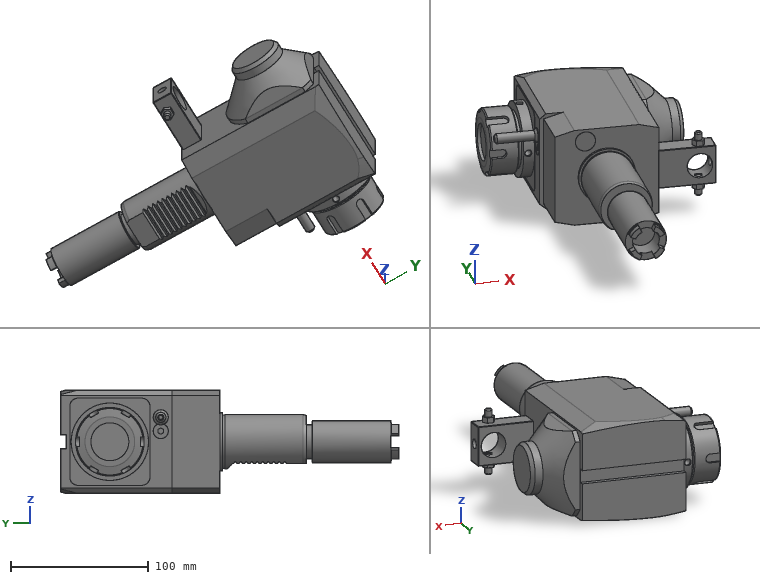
import cadquery as cq
import math


HEX_SIDES = 6

BODY_LEFT = -41.8
BODY_RIGHT = 39.1
BODY_LENGTH = 116.0
BODY_HALF_HEIGHT = 37.5
EDGE_DROP = 3.85
EDGE_HALF_HEIGHT = BODY_HALF_HEIGHT - EDGE_DROP
SIDE_SLOPE_WIDTH = 14.7
LEFT_CHAMFER_WIDTH = 4.5
STEP_LEFT = -38.8
STEP_LENGTH = 35.0
BACK_SLOPE_LENGTH = 12.0
BACK_SLOPE_ANGLE = 15.0
BACK_CURVE_OVERRUN = 10.0
BACK_CREST_X = -11.0
BACK_CREST_SETBACK = 3.2
BACK_SHOULDER_X = -24.0
BACK_SHOULDER_SETBACK = 4.4
BACK_SLOT_WIDTH = 10.0
BACK_SLOT_DEPTH = 4.0
FRONT_PLUG_X = -15.8
FRONT_PLUG_Z = 28.0
FRONT_PLUG_RADIUS = 7.5
OUTLINE_DEPTH = 0.2

FLANGE_RADIUS = 21.3
FLANGE_LENGTH = 2.0
SHANK_RADIUS = 20.0
SHANK_RELIEF_LENGTH = 3.5
SHANK_RELIEF = 0.4
SHANK_END = 63.0
SHANK_CHAMFER_LENGTH = 2.7
SHANK_CHAMFER_DEPTH = 0.8
NECK_RADIUS = 12.5
SHAFT_START = 67.0
SHAFT_RADIUS = 15.35
SHAFT_CHAMFER = 0.5
SHAFT_SHOULDER = 125.0
SHAFT_END = 130.25
SHAFT_BORE_END = 110.0
CLAW_RADIUS = 14.0
SHAFT_BORE_RADIUS = 10.0
CLAW_COUNT = 4
CLAW_GAP_ANGLE = 50.0
CLAW_GAP_FLOOR = 124.5

RACK_FLAT = 16.0
RACK_START = 9.0
RACK_PITCH = 4.0
RACK_TEETH = 10
RACK_FIRST = 11.25
RACK_DEPTH = 1.6
RACK_HALF_GAP = 1.5

SPINDLE_Y = 80.15
COLLAR_RADIUS = 28.2
COLLAR_FACE = -49.7
COLLAR_HOLE_X = -46.2
COLLAR_HOLE_RADIUS = 2.5
COLLAR_HOLE_DEPTH = 2.0
COLLAR_HOLE_COUNT = 4
SPINDLE_NECK_RADIUS = 21.7
NUT_RADIUS = 25.0
NUT_BACK = -52.3
NUT_FACE = -74.5
NUT_CHAMFER = 0.7
NUT_CONE_START = -73.4
NUT_EDGE_RADIUS = 24.2
NUT_SHOULDER = -72.4
NUT_RING_RADIUS = 18.1
COLLET_RADIUS = 13.8
COLLET_SETBACK = 2.5
NUT_SLOT_COUNT = 6
NUT_SLOT_WIDTH = 6.8
NUT_SHORT_SLOT_END = -61.6
NUT_LONG_SLOT_END = -57.2
NUT_SLOT_FLOOR = 22.2
PAD_LENGTH = 58.4
PAD_HEIGHT = 63.5
PAD_CORNER = 6.0

CAP_RADIUS = 40.4
CAP_FLAT = 32.4
CAP_CONE_START = 42.8
CAP_BACK_FLAT = 31.2
CAP_FLAT_TILT = 15.0
NOSE_RADIUS = 19.6
NOSE_END = 72.6
NOSE_CHAMFER_LENGTH = 2.9
NOSE_CHAMFER_DEPTH = 2.2

PIN_Y = 43.1
PIN_Z = 17.8
PIN_RADIUS = 3.7
PIN_END = -73.9
PIN_CHAMFER = 1.5
PIN_BORE_RADIUS = 1.5
PIN_BORE_DEPTH = 4.0
PIN_SEAT_RADIUS = 5.5
PIN_SEAT_RISE = 2.4
SPARE_PLUG_Z = 7.8
SPARE_HEX_SIZE = 4.0
SPARE_HEX_DEPTH = 3.0

BRACKET_END = 82.1
BRACKET_NEAR = 1.0
BRACKET_FAR = 16.6
BRACKET_HALF_HEIGHT = 15.0
BRACKET_CHAMFER = 0.5
SCREW_X = 70.1
SCREW_Y = 6.2
BRACKET_BORE_RADIUS = 9.5
SCREW_RADIUS = 2.75
END_HOLE_RADIUS = 3.5
SCREW_TIP = 24.9
SCREW_TIP_CHAMFER = 1.0
SCREW_INNER = 10.2
LOCK_NUT_SIZE = 8.2
LOCK_NUT_TOP = 19.1
LOCK_NUT_TURN = 180 / HEX_SIDES


def revolve_about_y(points, center_x=0.0):
    """Solid turned from (radius, y) points about an axis parallel to Y."""
    profile = cq.Workplane("XY").polyline(points).close()
    return profile.revolve(360, (0, 0, 0), (0, 1, 0)).translate((center_x, 0, 0))


def revolve_about_spindle(points):
    """Solid turned from (x, radius) points about the spindle axis."""
    profile = cq.Workplane("XY").polyline(points).close()
    return profile.revolve(360, (0, 0, 0), (1, 0, 0)).translate((0, SPINDLE_Y, 0))


def rod_x(radius, start, end, y, z):
    """Round rod parallel to X."""
    return cq.Workplane("YZ", origin=(start, y, z)).circle(radius).extrude(end - start)


def body_section(left, left_slope_width, start, end):
    """Length of the body with its upper and lower edges sloped on both sides."""
    upper = [
        (left, EDGE_HALF_HEIGHT),
        (left + left_slope_width, BODY_HALF_HEIGHT),
        (BODY_RIGHT - SIDE_SLOPE_WIDTH, BODY_HALF_HEIGHT),
        (BODY_RIGHT, EDGE_HALF_HEIGHT),
    ]
    lower = [(x, -z) for x, z in reversed(upper)]
    section = cq.Workplane("XZ", origin=(0, start, 0)).polyline(upper + lower).close()
    return section.extrude(start - end)


def back_slope_cutter():
    """What the curved back slope removes from the top edge of the back face."""
    corner_y = BODY_LENGTH - BACK_SLOPE_LENGTH
    left_x = BODY_LEFT + LEFT_CHAMFER_WIDTH
    right_x = BODY_RIGHT - SIDE_SLOPE_WIDTH
    far_left = (left_x - BACK_CURVE_OVERRUN, corner_y - BACK_CURVE_OVERRUN)
    far_right = (right_x + 2 * BACK_CURVE_OVERRUN, corner_y - BACK_CURVE_OVERRUN)
    top_curve = [
        (left_x, corner_y),
        (BACK_SHOULDER_X, BODY_LENGTH - BACK_SHOULDER_SETBACK),
        (BACK_CREST_X, BODY_LENGTH - BACK_CREST_SETBACK),
        (right_x, corner_y),
        far_right,
    ]
    depth = 2 * EDGE_DROP
    base_y = STEP_LENGTH
    kept = (
        cq.Workplane("XY")
        .moveTo(*far_left)
        .spline(top_curve, includeCurrent=True)
        .lineTo(far_right[0], base_y)
        .lineTo(far_left[0], base_y)
        .close()
        .extrude(depth, taper=BACK_SLOPE_ANGLE - 90)
        .mirror("XY")
    )
    block = cq.Workplane("XY").box(4 * BODY_RIGHT, BODY_LENGTH / 2, depth)
    block = block.translate((0, BODY_LENGTH, -depth / 2))
    return block.cut(kept).translate((0, 0, BODY_HALF_HEIGHT))


def make_body():
    """Sloped housing block with its front step, back slot, plug and spindle pad."""
    main = body_section(BODY_LEFT, LEFT_CHAMFER_WIDTH, STEP_LENGTH, BODY_LENGTH)
    step = body_section(STEP_LEFT, SIDE_SLOPE_WIDTH, 0, STEP_LENGTH)
    cutter = back_slope_cutter()
    body = main.cut(cutter).cut(cutter.mirror("XY")).union(step)
    slot = cq.Workplane("XY").box(4 * BODY_RIGHT, 2 * BACK_SLOT_DEPTH, BACK_SLOT_WIDTH)
    body = body.cut(slot.translate((0, BODY_LENGTH, 0)))
    plug = cq.Workplane("XZ").center(FRONT_PLUG_X, FRONT_PLUG_Z).circle(FRONT_PLUG_RADIUS)
    body = body.cut(plug.extrude(-OUTLINE_DEPTH))
    pad = (
        cq.Workplane("YZ", origin=(BODY_LEFT, SPINDLE_Y, 0))
        .rect(PAD_LENGTH, PAD_HEIGHT)
        .extrude(OUTLINE_DEPTH)
        .edges("|X")
        .fillet(PAD_CORNER)
    )
    return body.cut(pad)


def make_shank():
    """Flanged shank, neck and drive shaft with a clawed end."""
    relief_end = FLANGE_LENGTH + SHANK_RELIEF_LENGTH / 2
    shank = revolve_about_y([
        (0, 0),
        (FLANGE_RADIUS, 0),
        (FLANGE_RADIUS, -FLANGE_LENGTH),
        (SHANK_RADIUS - SHANK_RELIEF, -FLANGE_LENGTH),
        (SHANK_RADIUS - SHANK_RELIEF, -relief_end),
        (SHANK_RADIUS, -relief_end),
        (SHANK_RADIUS, -SHANK_END + SHANK_CHAMFER_LENGTH),
        (SHANK_RADIUS - SHANK_CHAMFER_DEPTH, -SHANK_END),
        (NECK_RADIUS, -SHANK_END),
        (NECK_RADIUS, -SHAFT_START),
        (SHAFT_RADIUS - SHAFT_CHAMFER, -SHAFT_START),
        (SHAFT_RADIUS, -SHAFT_START - SHAFT_CHAMFER),
        (SHAFT_RADIUS, -SHAFT_SHOULDER + SHAFT_CHAMFER),
        (SHAFT_RADIUS - SHAFT_CHAMFER, -SHAFT_SHOULDER),
        (CLAW_RADIUS, -SHAFT_SHOULDER),
        (CLAW_RADIUS, -SHAFT_END),
        (SHAFT_BORE_RADIUS, -SHAFT_END),
        (SHAFT_BORE_RADIUS, -SHAFT_BORE_END),
        (0, -SHAFT_BORE_END),
    ])
    return shank.cut(rack_cutter()).cut(claw_gaps())


def claw_gaps():
    """Wedge gaps between the drive claws, with radial side faces."""
    half_angle = math.radians(CLAW_GAP_ANGLE / 2)
    reach = 2 * CLAW_RADIUS
    half_width = reach * math.tan(half_angle)
    wedge = (
        cq.Workplane("XZ", origin=(0, -CLAW_GAP_FLOOR, 0))
        .polyline([(0, 0), (reach, -half_width), (reach, half_width)])
        .close()
        .extrude(SHAFT_END - CLAW_GAP_FLOOR)
    )
    gaps = wedge
    for index in range(1, CLAW_COUNT):
        gaps = gaps.union(wedge.rotate((0, 0, 0), (0, 1, 0), index * 360 / CLAW_COUNT))
    return gaps


def rack_cutter():
    """Flat with a 45 degree run-in and V grooves across the underside."""
    width = 3 * SHANK_RADIUS
    depth = 2 * SHANK_RADIUS - RACK_FLAT
    flat = (
        cq.Workplane("YZ", origin=(-width / 2, 0, 0))
        .moveTo(-RACK_START, -RACK_FLAT)
        .lineTo(-RACK_START + SHANK_RADIUS - RACK_FLAT, -SHANK_RADIUS)
        .lineTo(-RACK_START + SHANK_RADIUS - RACK_FLAT, -RACK_FLAT - depth)
        .lineTo(-SHANK_END, -RACK_FLAT - depth)
        .lineTo(-SHANK_END, -RACK_FLAT)
        .close()
        .extrude(width)
    )
    for index in range(RACK_TEETH):
        y = -RACK_FIRST - index * RACK_PITCH
        groove = (
            cq.Workplane("YZ", origin=(-width / 2, y, -RACK_FLAT))
            .polyline([(-RACK_HALF_GAP, 0), (0, RACK_DEPTH), (RACK_HALF_GAP, 0)])
            .close()
            .extrude(width)
        )
        flat = flat.union(groove)
    return flat


def make_spindle_nose():
    """Collar and slotted clamping nut on the spindle axis."""
    nose = revolve_about_spindle([
        (BODY_LEFT + 2 * OUTLINE_DEPTH, 0),
        (BODY_LEFT + 2 * OUTLINE_DEPTH, COLLAR_RADIUS),
        (COLLAR_FACE, COLLAR_RADIUS),
        (COLLAR_FACE, SPINDLE_NECK_RADIUS),
        (NUT_BACK, SPINDLE_NECK_RADIUS),
        (NUT_BACK, NUT_RADIUS - NUT_CHAMFER),
        (NUT_BACK - NUT_CHAMFER, NUT_RADIUS),
        (NUT_SHOULDER, NUT_RADIUS),
        (NUT_CONE_START, NUT_EDGE_RADIUS),
        (NUT_FACE, NUT_RING_RADIUS),
        (NUT_FACE, COLLET_RADIUS),
        (NUT_FACE + COLLET_SETBACK, COLLET_RADIUS),
        (NUT_FACE + COLLET_SETBACK, 0),
    ])
    for index in range(NUT_SLOT_COUNT):
        is_level = index % (NUT_SLOT_COUNT // 2) == 0
        slot = nut_slot(NUT_SHORT_SLOT_END if is_level else NUT_LONG_SLOT_END)
        nose = nose.cut(around_spindle(slot, index * 360 / NUT_SLOT_COUNT))
    for index in range(COLLAR_HOLE_COUNT):
        nose = nose.cut(around_spindle(collar_hole(), index * 360 / COLLAR_HOLE_COUNT))
    return nose


def around_spindle(shape, angle):
    """Shape turned about the spindle axis by an angle in degrees."""
    return shape.rotate((0, SPINDLE_Y, 0), (1, SPINDLE_Y, 0), angle)


def nut_slot(slot_end):
    """Wrench slot with a round end, on the -Y side of the nut."""
    half_width = NUT_SLOT_WIDTH / 2
    round_center = slot_end - half_width
    return (
        cq.Workplane("XZ", origin=(0, SPINDLE_Y - NUT_SLOT_FLOOR, 0))
        .moveTo(NUT_FACE, -half_width)
        .lineTo(round_center, -half_width)
        .threePointArc((slot_end, 0), (round_center, half_width))
        .lineTo(NUT_FACE, half_width)
        .close()
        .extrude(NUT_RADIUS)
    )


def collar_hole():
    """Radial blind hole with a 90 degree drill point, on the -Y side of the collar."""
    floor_y = SPINDLE_Y - COLLAR_RADIUS + COLLAR_HOLE_DEPTH
    return revolve_about_y([
        (0, floor_y + COLLAR_HOLE_RADIUS),
        (COLLAR_HOLE_RADIUS, floor_y),
        (COLLAR_HOLE_RADIUS, floor_y - 2 * COLLAR_HOLE_DEPTH),
        (0, floor_y - 2 * COLLAR_HOLE_DEPTH),
    ], COLLAR_HOLE_X)


def make_bearing_cap():
    """Conical rear cap with three flats and a cylindrical nose."""
    cone_end = CAP_CONE_START + CAP_RADIUS - NOSE_RADIUS
    cap = revolve_about_spindle([
        (BODY_RIGHT, 0),
        (BODY_RIGHT, CAP_RADIUS),
        (CAP_CONE_START, CAP_RADIUS),
        (cone_end, NOSE_RADIUS),
        (NOSE_END - NOSE_CHAMFER_LENGTH, NOSE_RADIUS),
        (NOSE_END, NOSE_RADIUS - NOSE_CHAMFER_DEPTH),
        (NOSE_END, 0),
    ])
    tilt_run = cone_end - CAP_CONE_START
    tilt_drop = tilt_run * math.tan(math.radians(CAP_FLAT_TILT))
    tilted_flat = (
        cq.Workplane("XZ", origin=(0, SPINDLE_Y + CAP_RADIUS, 0))
        .polyline([
            (BODY_RIGHT, CAP_FLAT),
            (CAP_CONE_START, CAP_FLAT),
            (cone_end, CAP_FLAT - tilt_drop),
            (cone_end, CAP_RADIUS),
            (BODY_RIGHT, CAP_RADIUS),
        ])
        .close()
        .extrude(2 * CAP_RADIUS)
    )
    back_flat = cq.Workplane("XY").box(
        NOSE_END, CAP_RADIUS, 2 * CAP_RADIUS, centered=(False, False, True)
    ).translate((BODY_RIGHT, SPINDLE_Y + CAP_BACK_FLAT, 0))
    return cap.cut(tilted_flat).cut(tilted_flat.mirror("XY")).cut(back_flat)


def add_coolant_pin(part):
    """Part with the coolant pin, its seat and the spare plug below it."""
    seat = rod_x(PIN_SEAT_RADIUS, BODY_LEFT - PIN_SEAT_RISE, BODY_LEFT, PIN_Y, PIN_Z)
    seat = seat.faces("<X").chamfer(PIN_SEAT_RADIUS - PIN_RADIUS)
    pin = rod_x(PIN_RADIUS, PIN_END, BODY_LEFT, PIN_Y, PIN_Z).faces("<X").chamfer(PIN_CHAMFER)
    bore = rod_x(PIN_BORE_RADIUS, PIN_END, PIN_END + PIN_BORE_DEPTH, PIN_Y, PIN_Z)
    plug = rod_x(PIN_SEAT_RADIUS, BODY_LEFT, BODY_LEFT + OUTLINE_DEPTH, PIN_Y, SPARE_PLUG_Z)
    hexagon = (
        cq.Workplane("YZ", origin=(BODY_LEFT, PIN_Y, SPARE_PLUG_Z))
        .polygon(HEX_SIDES, SPARE_HEX_SIZE, circumscribed=True)
        .extrude(SPARE_HEX_DEPTH)
    )
    return part.cut(plug).cut(hexagon).union(seat).union(pin).cut(bore)


def make_bracket():
    """Bored arm with an end hole and an adjusting screw above and below."""
    bracket = (
        cq.Workplane("XY")
        .box(BRACKET_END - BODY_RIGHT, BRACKET_FAR - BRACKET_NEAR, 2 * BRACKET_HALF_HEIGHT,
             centered=(False, False, True))
        .translate((BODY_RIGHT, BRACKET_NEAR, 0))
        .edges("|X or >X")
        .chamfer(BRACKET_CHAMFER)
    )
    bore = cq.Workplane("XZ").center(SCREW_X, 0).circle(BRACKET_BORE_RADIUS)
    bracket = bracket.cut(bore.extrude(-2 * BRACKET_FAR))
    middle_y = (BRACKET_NEAR + BRACKET_FAR) / 2
    bracket = bracket.cut(rod_x(END_HOLE_RADIUS, SCREW_X, BRACKET_END, middle_y, 0))
    screw_hole = cq.Workplane("XY").center(SCREW_X, SCREW_Y).circle(SCREW_RADIUS)
    bracket = bracket.cut(screw_hole.extrude(SCREW_INNER, both=True))
    screw = adjusting_screw()
    return bracket.union(screw).union(screw.mirror("XY"))


def adjusting_screw():
    """Screw with its lock nut on the upper side of the bracket."""
    screw = (
        cq.Workplane("XY", origin=(SCREW_X, SCREW_Y, SCREW_INNER))
        .circle(SCREW_RADIUS)
        .extrude(SCREW_TIP - SCREW_INNER)
        .faces(">Z")
        .chamfer(SCREW_TIP_CHAMFER)
    )
    lock_nut = (
        cq.Workplane("XY", origin=(SCREW_X, SCREW_Y, BRACKET_HALF_HEIGHT))
        .polygon(HEX_SIDES, LOCK_NUT_SIZE, circumscribed=True)
        .extrude(LOCK_NUT_TOP - BRACKET_HALF_HEIGHT)
        .rotate((SCREW_X, SCREW_Y, 0), (SCREW_X, SCREW_Y, 1), LOCK_NUT_TURN)
    )
    return screw.union(lock_nut)


housing = make_body().union(make_shank()).union(make_spindle_nose())
housing = housing.union(make_bearing_cap()).union(make_bracket())
result = add_coolant_pin(housing)